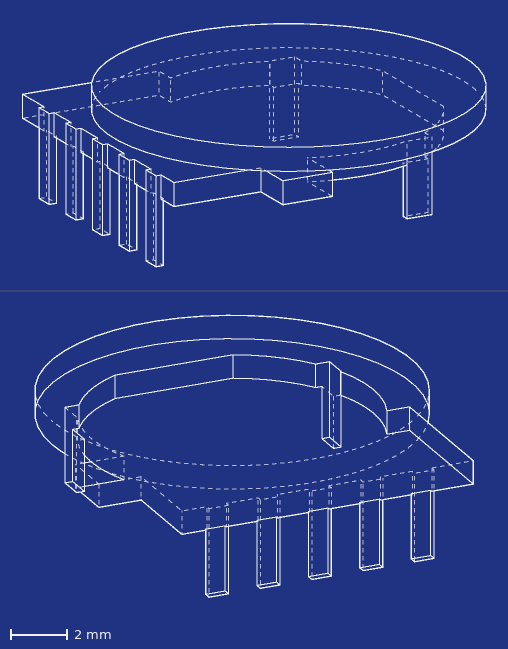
import cadquery as cq
import math

disc_diameter = 14.0
disc_thickness = 0.9

base_thickness = 0.9
plate_left = -6.0
plate_right = 5.35
plate_front = -7.5
plate_back = -2.0
body_radius = 5.5
body_back = 5.0

tab_right = disc_diameter / 2
tab_length = 2.0

leg_count = 5
leg_pitch = 2.0
leg_width = 0.76
leg_thickness = 0.3
leg_front = -7.7
leg_drop = 2.5

pin_outer_x = 5.15
pin_thickness = 0.3
pin_front = 2.0
pin_width = 1.0
pin_drop = 2.0

disc_bottom = base_thickness


def box_between(x_min, x_max, y_min, y_max, z_min, z_max):
    """Axis-aligned block given by its limits."""
    block = cq.Workplane("XY").box(x_max - x_min, y_max - y_min, z_max - z_min, centered=False)
    return block.translate((x_min, y_min, z_min))


def make_disc():
    disc = cq.Workplane("XY").workplane(offset=disc_bottom)
    return disc.circle(disc_diameter / 2).extrude(disc_thickness)


def make_rounded_body():
    """Body with two concentric side arcs and a flat back, closed along the plate."""
    back_x = math.sqrt(body_radius**2 - body_back**2)
    front_x = math.sqrt(body_radius**2 - plate_back**2)
    return (
        cq.Workplane("XY")
        .moveTo(-front_x, plate_back)
        .threePointArc((-body_radius, 0), (-back_x, body_back))
        .lineTo(back_x, body_back)
        .threePointArc((body_radius, 0), (front_x, plate_back))
        .close()
        .extrude(base_thickness)
    )


def make_base():
    plate = box_between(plate_left, plate_right, plate_front, plate_back, 0, base_thickness)
    tab = box_between(0, tab_right, plate_back - tab_length, plate_back, 0, base_thickness)
    return plate.union(tab).union(make_rounded_body())


def make_leg(center_x):
    """Leg standing slightly proud of the front edge, reaching up to the top of the plate."""
    half_width = leg_width / 2
    return box_between(
        center_x - half_width,
        center_x + half_width,
        leg_front,
        leg_front + leg_thickness,
        -leg_drop,
        base_thickness,
    )


def make_side_pin(side):
    """Pin hanging down at the outer end of a short arm that leaves the rounded body."""
    pin_back = pin_front + pin_width
    outer_x = side * pin_outer_x
    inner_x = side * (pin_outer_x - pin_thickness)
    x_min = min(outer_x, inner_x)
    x_max = max(outer_x, inner_x)
    pin = box_between(x_min, x_max, pin_front, pin_back, -pin_drop, base_thickness)
    arm = box_between(min(outer_x, 0), max(outer_x, 0), pin_front, pin_back, 0, base_thickness)
    return pin.union(arm)


result = make_base().union(make_disc())

for index in range(leg_count):
    leg_x = (index - (leg_count - 1) / 2) * leg_pitch
    result = result.union(make_leg(leg_x))

for side in (-1, 1):
    result = result.union(make_side_pin(side))